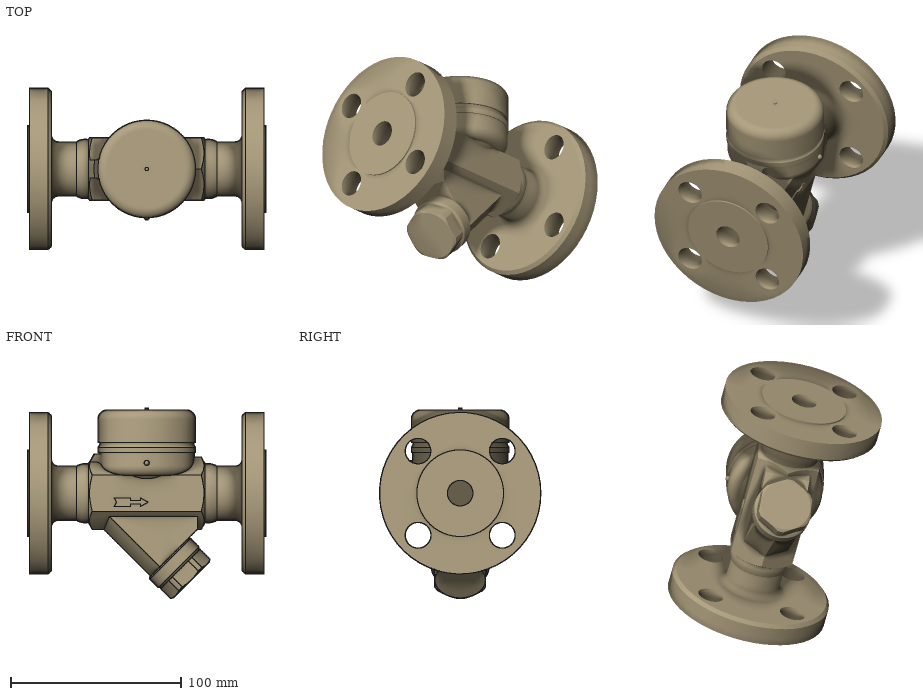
import cadquery as cq
import math

LENGTH = 140.0
FLANGE_DIA = 95.0
FLANGE_THICK = 14.0
FLANGE_CHAMFER = 2.0
RAISED_DIA = 51.0
RAISED_HEIGHT = 1.0
BOLT_HOLE_DIA = 15.0
BOLT_CIRCLE_DIA = 70.0
BOLT_COUNT = 4
FIRST_BOLT_ANGLE = 45.0
PIPE_DIA = 32.0
PIPE_FILLET_DIA = 40.0
BORE_DIA = 15.0
BORE_DEPTH = 30.0

BEAD_FOOT_DIA = 34.6
BEAD_CREST_DIA = 34.8
BEAD_CREST_X = 37.8
BEAD_END_X = 41.3

BODY_FLATS = 37.0
BODY_LENGTH = 68.6
BODY_END_DIA = 34.8
BODY_CHAMFER_ANGLE = 30.0

SEAT_DIA = 56.0
SEAT_BOTTOM_Z = 10.5
SEAT_FILLET = 5.5
SEAT_CONE_TOP_RADIUS = 20.5
SEAT_CONE_HALF_ANGLE = 45.0
SEAT_CONE_BOTTOM_Z = 5.0
RIM_DIA = 57.5
RIM_BOTTOM_Z = 24.0
RIM_TOP_Z = 27.0
NECK_DIA = 55.2

CAP_DIA = RIM_DIA
CAP_BOTTOM_Z = 29.9
CAP_TOP_Z = 49.0
CAP_FILLET = 5.6
NIB_DIA = 2.0
NIB_HEIGHT = 1.0

BALL_DIA = 3.0
BALL_Y = -28.5
BALL_Z = 17.8
LUG_WIDTH = 10.4
LUG_TOP_Z = 23.1
LUG_FILLET = 4.0

BRANCH_ANGLE = 45.0
BRANCH_AXIS_OFFSET = 17.55
BRANCH_FLATS = 26.6
BRANCH_START = -8.0
BRANCH_END = 36.1
BRANCH_SIDE_X = 29.9

COLLAR_DIA = 34.0
COLLAR_CHAMFER = 0.9
COLLAR_END = 44.1
GROOVE_DIA = 31.2
PLUG_HEX_START = 45.4
PLUG_HEX_END = 54.7
PLUG_HEX_FLATS = 30.0
PLUG_HEX_CORNER_DIA = 32.8
PLUG_TIP_DIA = 29.6
PLUG_TIP_ANGLE = 30.0

ARROW_HEIGHT = 0.8
ARROW_TAIL_X = -19.2
ARROW_NOTCH = 1.5
ARROW_SHAFT_X = -9.7
ARROW_HEAD_X = -3.7
ARROW_TIP_X = 0.8
ARROW_Z = -5.3
ARROW_HALF_WIDTH = 2.5
ARROW_SHAFT_HALF_WIDTH = 1.0

HALF_BODY = BODY_LENGTH / 2


def hex_corner_dia(flats):
    return flats / math.cos(math.pi / 6)


def revolve_about_x(profile):
    return profile.close().revolve(360, (0, 0, 0), (1, 0, 0))


def revolve_about_z(profile):
    return profile.close().revolve(360, (0, 0, 0), (0, 1, 0))


def make_pipe_end():
    """Flange, pipe and weld bead on the +X side, running in to the middle of the body."""
    end = LENGTH / 2
    flange_back = end - FLANGE_THICK
    pipe_fillet = (PIPE_FILLET_DIA - PIPE_DIA) / 2
    fillet_slack = pipe_fillet * (1 - math.sqrt(0.5))
    profile = (
        cq.Workplane("XY")
        .moveTo(0, 0)
        .lineTo(0, BEAD_FOOT_DIA / 2)
        .lineTo(HALF_BODY, BEAD_FOOT_DIA / 2)
        .threePointArc((BEAD_CREST_X, BEAD_CREST_DIA / 2), (BEAD_END_X, PIPE_DIA / 2))
        .lineTo(flange_back - pipe_fillet, PIPE_DIA / 2)
        .threePointArc(
            (flange_back - fillet_slack, PIPE_DIA / 2 + fillet_slack),
            (flange_back, PIPE_FILLET_DIA / 2),
        )
        .lineTo(flange_back, FLANGE_DIA / 2 - FLANGE_CHAMFER)
        .lineTo(flange_back + FLANGE_CHAMFER, FLANGE_DIA / 2)
        .lineTo(end - RAISED_HEIGHT, FLANGE_DIA / 2)
        .lineTo(end - RAISED_HEIGHT, RAISED_DIA / 2)
        .lineTo(end, RAISED_DIA / 2)
        .lineTo(end, 0)
    )
    bolt_holes = (
        cq.Workplane("YZ", origin=(flange_back, 0, 0))
        .polarArray(BOLT_CIRCLE_DIA / 2, FIRST_BOLT_ANGLE, 360, BOLT_COUNT)
        .circle(BOLT_HOLE_DIA / 2)
        .extrude(FLANGE_THICK)
    )
    return revolve_about_x(profile).cut(bolt_holes)


def make_end_cones():
    """Double cone that chamfers both ends of the hexagonal body and the lug."""
    slope = math.tan(math.radians(BODY_CHAMFER_ANGLE))
    apex_radius = BODY_END_DIA / 2 + HALF_BODY / slope
    profile = (
        cq.Workplane("XY")
        .moveTo(-HALF_BODY, 0)
        .lineTo(-HALF_BODY, BODY_END_DIA / 2)
        .lineTo(0, apex_radius)
        .lineTo(HALF_BODY, BODY_END_DIA / 2)
        .lineTo(HALF_BODY, 0)
    )
    return revolve_about_x(profile)


def make_hex_body():
    """Hexagonal bar with flats on +Y and -Y and corners on +Z and -Z."""
    return (
        cq.Workplane("YZ", origin=(-HALF_BODY, 0, 0))
        .transformed(rotate=(0, 0, 90))
        .polygon(6, hex_corner_dia(BODY_FLATS))
        .extrude(BODY_LENGTH)
    )


def make_lug():
    """Lug on the -X side of the seat, blended into the seat by upright fillets."""
    seat_radius = SEAT_DIA / 2
    half_width = LUG_WIDTH / 2
    centre_y = half_width + LUG_FILLET
    centre_x = -math.sqrt((seat_radius + LUG_FILLET) ** 2 - centre_y**2)
    seat_share = seat_radius / (seat_radius + LUG_FILLET)
    touch = (centre_x * seat_share, centre_y * seat_share)
    middle_angle = (math.atan2(-centre_y, -centre_x) - math.pi / 2) / 2
    middle = (
        centre_x + LUG_FILLET * math.cos(middle_angle),
        centre_y + LUG_FILLET * math.sin(middle_angle),
    )
    return (
        cq.Workplane("XY")
        .moveTo(-HALF_BODY, -half_width)
        .lineTo(centre_x, -half_width)
        .threePointArc((middle[0], -middle[1]), (touch[0], -touch[1]))
        .lineTo(0, 0)
        .lineTo(*touch)
        .threePointArc(middle, (centre_x, half_width))
        .lineTo(-HALF_BODY, half_width)
        .close()
        .extrude(LUG_TOP_Z)
    )


def make_seat():
    """Round seat: cone, filleted drum, rim and the flared neck that carries the cap."""
    seat_radius = SEAT_DIA / 2
    neck_radius = NECK_DIA / 2
    cone_drop = SEAT_BOTTOM_Z - SEAT_CONE_BOTTOM_Z
    cone_radius = SEAT_CONE_TOP_RADIUS - cone_drop * math.tan(math.radians(SEAT_CONE_HALF_ANGLE))
    fillet_slack = SEAT_FILLET * (1 - math.sqrt(0.5))
    neck_flare = (RIM_DIA - NECK_DIA) / 2
    neck_height = CAP_BOTTOM_Z - RIM_TOP_Z
    flare_angle = 2 * math.atan2(neck_flare, neck_height)
    flare_radius = neck_height / math.sin(flare_angle)
    flare_middle = (
        neck_radius + flare_radius * (1 - math.cos(flare_angle / 2)),
        CAP_BOTTOM_Z - flare_radius * math.sin(flare_angle / 2),
    )
    profile = (
        cq.Workplane("XZ")
        .moveTo(0, SEAT_CONE_BOTTOM_Z)
        .lineTo(cone_radius, SEAT_CONE_BOTTOM_Z)
        .lineTo(SEAT_CONE_TOP_RADIUS, SEAT_BOTTOM_Z)
        .lineTo(seat_radius - SEAT_FILLET, SEAT_BOTTOM_Z)
        .threePointArc(
            (seat_radius - fillet_slack, SEAT_BOTTOM_Z + fillet_slack),
            (seat_radius, SEAT_BOTTOM_Z + SEAT_FILLET),
        )
        .lineTo(seat_radius, RIM_BOTTOM_Z)
        .lineTo(RIM_DIA / 2, RIM_BOTTOM_Z)
        .lineTo(RIM_DIA / 2, RIM_TOP_Z)
        .threePointArc(flare_middle, (neck_radius, CAP_BOTTOM_Z))
        .lineTo(0, CAP_BOTTOM_Z)
    )
    return revolve_about_z(profile)


def make_ball():
    return cq.Workplane("XY").sphere(BALL_DIA / 2).translate((0, BALL_Y, BALL_Z))


def branch_plane(distance):
    """Plane across the branch: local x is Y, local y points up and +X, the normal points down the branch."""
    angle = math.radians(BRANCH_ANGLE)
    along = cq.Vector(math.cos(angle), 0, -math.sin(angle))
    across = cq.Vector(math.sin(angle), 0, math.cos(angle))
    origin = along * distance - across * BRANCH_AXIS_OFFSET
    return cq.Plane(origin=origin.toTuple(), xDir=(0, 1, 0), normal=along.toTuple())


def make_branch():
    """Branch with flat sides and a V-shaped underside, cut off upright on the +X side."""
    half_flats = BRANCH_FLATS / 2
    corner = hex_corner_dia(BRANCH_FLATS) / 2
    upper_edge = 2 * BRANCH_AXIS_OFFSET
    bar = (
        cq.Workplane(branch_plane(BRANCH_START))
        .moveTo(0, -corner)
        .lineTo(half_flats, -corner / 2)
        .lineTo(half_flats, upper_edge)
        .lineTo(-half_flats, upper_edge)
        .lineTo(-half_flats, -corner / 2)
        .close()
        .extrude(BRANCH_END - BRANCH_START)
    )
    keep_depth = 2 * BRANCH_END
    keep = (
        cq.Workplane("XY")
        .box(keep_depth, BRANCH_FLATS, keep_depth, centered=(False, True, False))
        .translate((BRANCH_SIDE_X - keep_depth, 0, -keep_depth))
    )
    return bar.intersect(keep)


def make_plug():
    """Collar, undercut groove and chamfered hexagon on the end of the branch."""
    collar_radius = COLLAR_DIA / 2
    groove_radius = GROOVE_DIA / 2
    corner_radius = PLUG_HEX_CORNER_DIA / 2
    tip_radius = PLUG_TIP_DIA / 2
    tip_height = (corner_radius - tip_radius) * math.tan(math.radians(PLUG_TIP_ANGLE))
    collar_length = COLLAR_END - BRANCH_END
    hex_length = PLUG_HEX_END - PLUG_HEX_START
    collar = (
        cq.Workplane(branch_plane(BRANCH_END))
        .circle(collar_radius)
        .extrude(collar_length)
        .faces("<(1,0,-1)")
        .chamfer(COLLAR_CHAMFER)
    )
    groove = (
        cq.Workplane(branch_plane(COLLAR_END))
        .circle(collar_radius)
        .workplane(offset=PLUG_HEX_START - COLLAR_END)
        .circle(groove_radius)
        .loft(ruled=True)
    )
    hexagon = (
        cq.Workplane(branch_plane(PLUG_HEX_START))
        .transformed(rotate=(0, 0, 90))
        .polygon(6, hex_corner_dia(PLUG_HEX_FLATS))
        .extrude(hex_length)
    )
    turned = (
        cq.Workplane(branch_plane(PLUG_HEX_START))
        .circle(corner_radius)
        .extrude(hex_length)
        .faces(">(1,0,-1)")
        .chamfer(tip_height, corner_radius - tip_radius)
    )
    return collar.union(groove).union(hexagon.intersect(turned))


def make_arrow():
    """Raised flow arrow pointing to +X."""
    upper = [
        (ARROW_TAIL_X, ARROW_HALF_WIDTH),
        (ARROW_SHAFT_X, ARROW_HALF_WIDTH),
        (ARROW_SHAFT_X, ARROW_SHAFT_HALF_WIDTH),
        (ARROW_HEAD_X, ARROW_SHAFT_HALF_WIDTH),
        (ARROW_HEAD_X, ARROW_HALF_WIDTH),
    ]
    lower = [(x, -z) for x, z in reversed(upper)]
    notch = [(ARROW_TAIL_X + ARROW_NOTCH, 0)]
    return (
        cq.Workplane("XZ", origin=(0, -BODY_FLATS / 2, ARROW_Z))
        .polyline(upper + [(ARROW_TIP_X, 0)] + lower + notch)
        .close()
        .extrude(ARROW_HEIGHT)
    )


def make_housing():
    pipe_end = make_pipe_end()
    end_cones = make_end_cones()
    bore = cq.Workplane("YZ", origin=(-LENGTH / 2, 0, 0)).circle(BORE_DIA / 2).extrude(BORE_DEPTH)
    housing = make_hex_body().union(make_lug()).intersect(end_cones)
    for feature in (make_seat(), make_ball(), make_branch(), make_plug(), make_arrow()):
        housing = housing.union(feature)
    for side in (pipe_end, pipe_end.mirror("YZ")):
        housing = housing.union(side)
    return housing.cut(bore).cut(bore.mirror("YZ"))


def make_cap():
    cap = (
        cq.Workplane("XY", origin=(0, 0, CAP_BOTTOM_Z))
        .circle(CAP_DIA / 2)
        .extrude(CAP_TOP_Z - CAP_BOTTOM_Z)
        .faces(">Z")
        .edges()
        .fillet(CAP_FILLET)
    )
    nib = cq.Workplane("XY", origin=(0, 0, CAP_TOP_Z)).circle(NIB_DIA / 2).extrude(NIB_HEIGHT)
    return cap.union(nib)


housing = make_housing()
cap = make_cap()
result = cq.Compound.makeCompound([housing.val(), cap.val()])